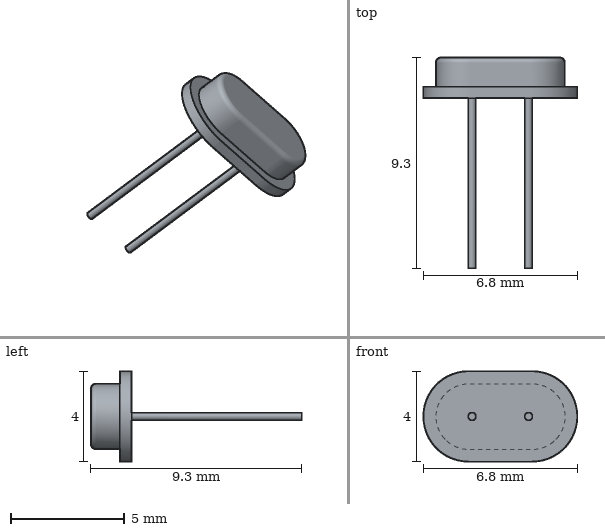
import cadquery as cq

total_length = 9.3
straight_length = 2.8

flange_height = 4.0
flange_thickness = 0.51

can_height = 2.89
can_depth = 1.28
can_edge_radius = 0.23

lead_diameter = 0.34
lead_spacing = 2.49
lead_length = total_length - flange_thickness - can_depth


def stadium(height, depth, start_y):
    """Round-ended plate in the XZ plane, extruded along +Y from start_y."""
    return (
        cq.Workplane("XZ", origin=(0, start_y, 0))
        .slot2D(straight_length + height, height)
        .extrude(-depth)
    )


flange = stadium(flange_height, flange_thickness, 0)
can = stadium(can_height, can_depth, flange_thickness).faces(">Y").edges().fillet(can_edge_radius)

leads = (
    cq.Workplane("XZ")
    .rarray(lead_spacing, 0.09, 2, 1)
    .circle(lead_diameter / 2)
    .extrude(lead_length)
)

result = flange.union(can).union(leads)